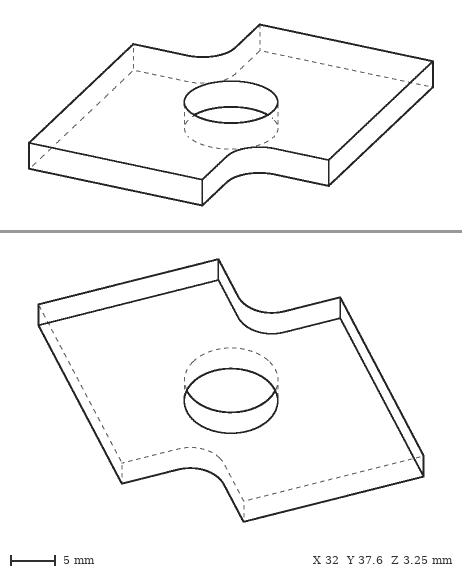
import cadquery as cq

width = 32.0
length = 37.6
thickness = 3.25

notch_width = 10.65
notch_length = 10.4
notch_radius = 4.0

hole_diameter = 10.4


def corner_notch(side):
    """Cutter for the corner at (-side, +side), rounded at its inner edge."""
    return (
        cq.Workplane("XY")
        .rect(2 * notch_width, 2 * notch_length)
        .extrude(thickness)
        .edges("|Z")
        .fillet(notch_radius)
        .translate((-side * width / 2, side * length / 2, 0))
    )


plate = cq.Workplane("XY").rect(width, length).extrude(thickness)
for side in (1, -1):
    plate = plate.cut(corner_notch(side))

result = plate.faces(">Z").workplane(origin=(0, 0, thickness)).hole(hole_diameter)